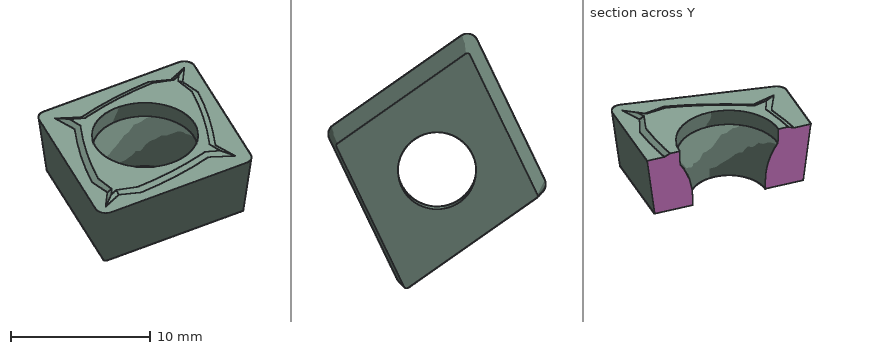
import cadquery as cq
import math

inscribed_diameter = 12.7
sharp_angle = 80
corner_radius = 0.79
relief_angle = 7
total_height = 4.95
plateau_height = 0.2
body_height = total_height - plateau_height

bore_radius = 5.6 / 2
mouth_radius = 7.62 / 2
seat_top_radius = 3.77
mouth_depth = 1.19
seat_curve_radius = 4.95
mouth_bottom_z = total_height - mouth_depth
seat_curve_center_r = bore_radius + seat_curve_radius

short_diagonal_angle = sharp_angle / 2
long_diagonal_angle = short_diagonal_angle + 90


def polar(distance, angle):
    return (distance * math.cos(math.radians(angle)), distance * math.sin(math.radians(angle)))


def mirror(point):
    """Reflect a point across the short diagonal."""
    x, y = point
    cosine, sine = polar(1, 2 * short_diagonal_angle)
    return (cosine * x + sine * y, sine * x - cosine * y)


def opposite(point):
    return (-point[0], -point[1])


def make_body():
    half_width = inscribed_diameter / 2
    slope = math.radians(90 - sharp_angle)
    center_y = half_width / math.cos(slope)
    rise = half_width * math.tan(slope)
    corners = [
        (-half_width, center_y + rise),
        (-half_width, rise - center_y),
        (half_width, -center_y - rise),
        (half_width, center_y - rise),
    ]
    rhombus = cq.Workplane("XY").polyline(corners).close().extrude(0.15).edges("|Z").fillet(corner_radius)
    top_outline = rhombus.faces("<Z").wires().val()
    body = cq.Workplane("XY").add(top_outline).toPending().extrude(-body_height, taper=relief_angle)
    return body.translate((0, 0, body_height))


def plateau_outline(plane, sharp_tip, notch, shoulder, side_middle, bend_start, bend_middle, bend_end, blunt_tip):
    """Closed outline made of one side, its mirror image, and both turned half round."""
    left = [sharp_tip, notch, shoulder, side_middle, bend_start, bend_middle, bend_end, blunt_tip]
    bottom = [mirror(point) for point in reversed(left)]
    right = [opposite(point) for point in left]
    top = [opposite(point) for point in bottom]

    outline = plane.moveTo(*sharp_tip)
    for near_side, far_side in ((left, bottom), (right, top)):
        _, notch, shoulder, side_middle, bend_start, bend_middle, bend_end, tip = near_side
        outline = outline.lineTo(*notch).lineTo(*shoulder).threePointArc(side_middle, bend_start)
        outline = outline.threePointArc(bend_middle, bend_end).lineTo(*tip)
        _, bend_end, bend_middle, bend_start, side_middle, shoulder, notch, tip = far_side
        outline = outline.lineTo(*bend_end).threePointArc(bend_middle, bend_start)
        outline = outline.threePointArc(side_middle, shoulder).lineTo(*notch).lineTo(*tip)
    return outline.close()


def make_plateau():
    """Raised centre of the top face with sloping chip-breaker walls."""
    foot = plateau_outline(
        cq.Workplane("XY", origin=(0, 0, body_height)),
        sharp_tip=polar(8.69, long_diagonal_angle),
        notch=(-4.86, 5.12),
        shoulder=(-5.46, 3.6),
        side_middle=(-5.05, 0.21),
        bend_start=(-4.42, -2.52),
        bend_middle=(-4.39, -2.67),
        bend_end=(-4.43, -2.82),
        blunt_tip=polar(-6.85, short_diagonal_angle),
    )
    rim = plateau_outline(
        foot.workplane(offset=plateau_height),
        sharp_tip=polar(7.46, long_diagonal_angle),
        notch=(-4.51, 5.12),
        shoulder=(-4.98, 3.6),
        side_middle=(-4.61, 0.21),
        bend_start=(-3.97, -2.52),
        bend_middle=(-3.93, -2.67),
        bend_end=(-3.99, -2.82),
        blunt_tip=polar(-5.71, short_diagonal_angle),
    )
    return rim.loft(ruled=True)


def make_hole():
    """Revolved cutter; the curved seat runs tangent into the bore."""
    top_offset = seat_curve_center_r - seat_top_radius
    seat_height = math.sqrt(seat_curve_radius**2 - top_offset**2)
    bore_top_z = mouth_bottom_z - seat_height
    half_sweep = math.asin(seat_height / seat_curve_radius) / 2
    seat_middle = (
        seat_curve_center_r - seat_curve_radius * math.cos(half_sweep),
        bore_top_z + seat_curve_radius * math.sin(half_sweep),
    )
    profile = (
        cq.Workplane("XZ")
        .lineTo(bore_radius, 0)
        .lineTo(bore_radius, bore_top_z)
        .threePointArc(seat_middle, (seat_top_radius, mouth_bottom_z))
        .lineTo(mouth_radius, total_height)
        .lineTo(0, total_height)
        .close()
    )
    return profile.revolve(360, (0, 0, 0), (0, 1, 0))


result = make_body().union(make_plateau()).cut(make_hole())